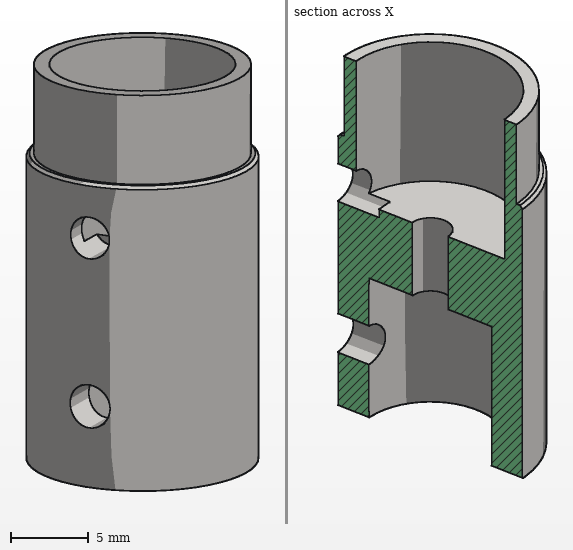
import cadquery as cq

total_height = 26.5
body_diameter = 15.0
neck_diameter = 14.02
neck_height = 6.0
shoulder_height = total_height - neck_height
shoulder_chamfer = 0.2

cup_diameter = 12.0
cup_floor_height = 16.0
axial_hole_diameter = 2.9

bottom_bore_diameter = 9.9
bottom_bore_depth = total_height - cup_floor_height

upper_hole_diameter = 2.8
upper_hole_height = 16.8
lower_hole_diameter = 2.9
lower_hole_height = 5.45
radial_hole_end = 4.15


def stepped_body():
    body = cq.Workplane("XY").circle(body_diameter / 2).extrude(shoulder_height)
    body = body.faces(">Z").edges().chamfer(shoulder_chamfer)
    neck = (
        cq.Workplane("XY")
        .workplane(offset=shoulder_height)
        .circle(neck_diameter / 2)
        .extrude(neck_height)
    )
    return body.union(neck)


def axial_cut(diameter, bottom, top):
    """Cylinder on the axis between two heights."""
    return (
        cq.Workplane("XY")
        .workplane(offset=bottom)
        .circle(diameter / 2)
        .extrude(top - bottom)
    )


def radial_cut(diameter, height):
    """Cylinder from its inner end outwards through the -Y side."""
    return (
        cq.Workplane("XZ")
        .workplane(offset=radial_hole_end)
        .center(0, height)
        .circle(diameter / 2)
        .extrude(body_diameter / 2 - radial_hole_end)
    )


result = (
    stepped_body()
    .cut(axial_cut(cup_diameter, cup_floor_height, total_height))
    .cut(axial_cut(bottom_bore_diameter, 0, bottom_bore_depth))
    .cut(axial_cut(axial_hole_diameter, 0, total_height))
    .cut(radial_cut(upper_hole_diameter, upper_hole_height))
    .cut(radial_cut(lower_hole_diameter, lower_hole_height))
)